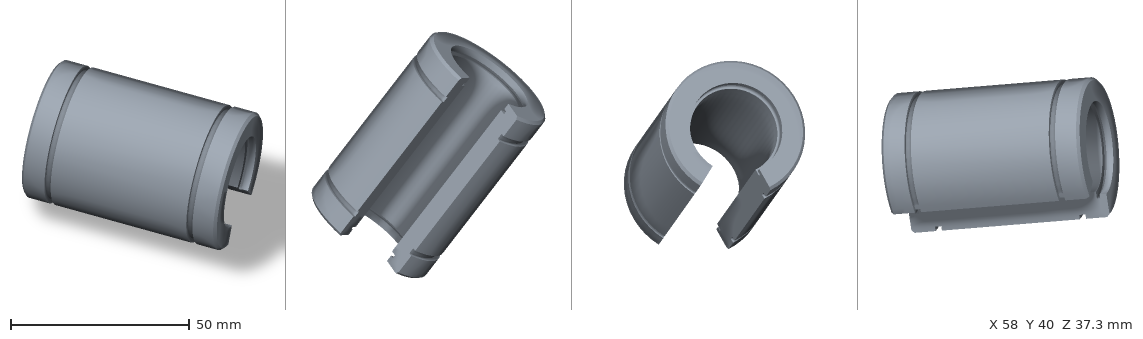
import cadquery as cq
import math

length = 58.0
outer_diameter = 40.0
bore_diameter = 25.0
end_chamfer = 0.8

groove_inset = 6.95
groove_width = 1.85
groove_depth = 1.3

counterbore_diameter = 26.55
counterbore_depth = 2.0

undercut_diameter = 29.0
undercut_width = 1.0

opening_angle = 60.0

outer_radius = outer_diameter / 2
half_length = length / 2


def x_cylinder(diameter, start, depth):
    """Cylinder around the X axis, running from x = start toward +X."""
    return cq.Workplane("YZ", origin=(start, 0, 0)).circle(diameter / 2).extrude(depth)


def make_sleeve():
    """Chamfered outer cylinder with a plain through bore."""
    sleeve = x_cylinder(outer_diameter, -half_length, length)
    sleeve = sleeve.edges("%CIRCLE").chamfer(end_chamfer)
    return sleeve.cut(x_cylinder(bore_diameter, -half_length, length))


def ring_groove(start):
    """Ring of material removed for one retaining ring groove."""
    ring = x_cylinder(outer_diameter, start, groove_width)
    floor_diameter = outer_diameter - 2 * groove_depth
    return ring.cut(x_cylinder(floor_diameter, start, groove_width))


def end_recess():
    """Counterbore and undercut at the -X end of the bore."""
    counterbore = x_cylinder(counterbore_diameter, -half_length, counterbore_depth)
    undercut = x_cylinder(undercut_diameter, -half_length + counterbore_depth, undercut_width)
    return counterbore.union(undercut)


def opening_wedge():
    """Wedge with its tip on the axis, reaching below the sleeve."""
    wedge_depth = 2 * outer_radius
    half_width = wedge_depth * math.tan(math.radians(opening_angle / 2))
    outline = [(0, 0), (half_width, -wedge_depth), (-half_width, -wedge_depth)]
    plane = cq.Workplane("YZ", origin=(-half_length, 0, 0))
    return plane.polyline(outline).close().extrude(length)


result = make_sleeve()

for groove_start in (-half_length + groove_inset, half_length - groove_inset - groove_width):
    result = result.cut(ring_groove(groove_start))

left_recess = end_recess()
result = result.cut(left_recess).cut(left_recess.mirror("YZ"))

result = result.cut(opening_wedge())